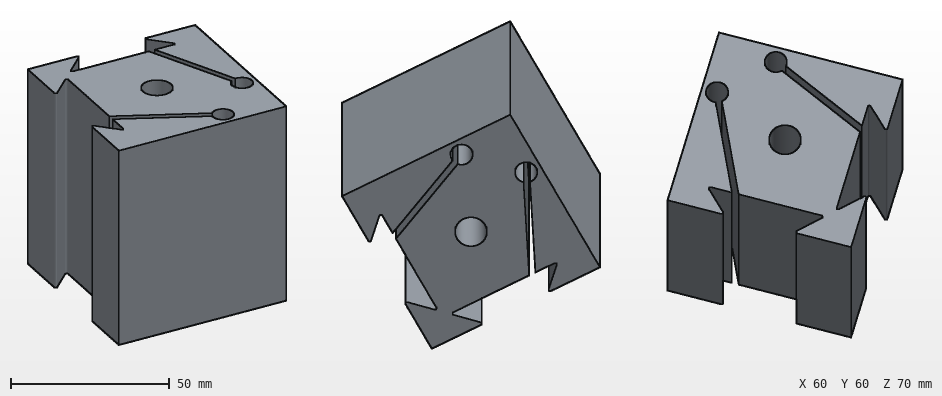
import cadquery as cq
import math

SIDE = 60.0
HEIGHT = 70.0
CENTRE_BORE_DIAMETER = 10.04

GROOVE_DEPTH = 8.0
MOUTH_HALF_WIDTH = 11.25
FLOOR_HALF_WIDTH = MOUTH_HALF_WIDTH + GROOVE_DEPTH
CORNER_RADIUS = 0.5

SLIT_WIDTH = 2.0
SLIT_ANGLE = 25.0
RELIEF_DIAMETER = 7.0
RELIEF_X = 25.0
RELIEF_Y = 10.0

HALF_SIDE = SIDE / 2
FLOOR_POSITION = -HALF_SIDE + GROOVE_DEPTH


def dovetail_groove():
    """Sharp-cornered groove in the -Y side, running the full height."""
    corners = [
        (-MOUTH_HALF_WIDTH, -HALF_SIDE),
        (MOUTH_HALF_WIDTH, -HALF_SIDE),
        (FLOOR_HALF_WIDTH, FLOOR_POSITION),
        (-FLOOR_HALF_WIDTH, FLOOR_POSITION),
    ]
    return cq.Workplane("XY").polyline(corners).close().extrude(HEIGHT)


def clamping_slit():
    """Slit from the floor of the -Y groove, ending in its relief hole."""
    slit_drift = (RELIEF_Y - FLOOR_POSITION) * math.tan(math.radians(SLIT_ANGLE))
    relief_centre = cq.Vector(RELIEF_X, RELIEF_Y)
    start = cq.Vector(RELIEF_X - slit_drift, FLOOR_POSITION)
    direction = (relief_centre - start).normalized()
    tail = start - direction * SLIT_WIDTH
    half_width = cq.Vector(-direction.y, direction.x) * (SLIT_WIDTH / 2)
    corners = [
        tail - half_width,
        relief_centre - half_width,
        relief_centre + half_width,
        tail + half_width,
    ]
    slit = cq.Workplane("XY").polyline([(p.x, p.y) for p in corners]).close().extrude(HEIGHT)
    relief = (
        cq.Workplane("XY")
        .center(relief_centre.x, relief_centre.y)
        .circle(RELIEF_DIAMETER / 2)
        .extrude(HEIGHT)
    )
    return slit.union(relief)


def mirror_across_diagonal(body):
    """Swap X and Y by mirroring in the vertical plane X = Y."""
    return body.rotate((0, 0, 0), (0, 0, 1), 90).mirror("YZ")


def is_groove_edge(edge):
    """True for every upright edge except the four outer corners of the block."""
    centre = edge.Center()
    return min(abs(centre.x), abs(centre.y)) < HALF_SIDE - GROOVE_DEPTH / 2


def grooved_block():
    """Square block with both grooves cut and their lips and floor corners rounded."""
    groove = dovetail_groove()
    block = cq.Workplane("XY").rect(SIDE, SIDE).extrude(HEIGHT)
    block = block.cut(groove).cut(mirror_across_diagonal(groove))
    return block.edges("|Z").filter(is_groove_edge).fillet(CORNER_RADIUS)


bore = cq.Workplane("XY").circle(CENTRE_BORE_DIAMETER / 2).extrude(HEIGHT)
slit = clamping_slit()

result = grooved_block().cut(bore).cut(slit).cut(mirror_across_diagonal(slit))